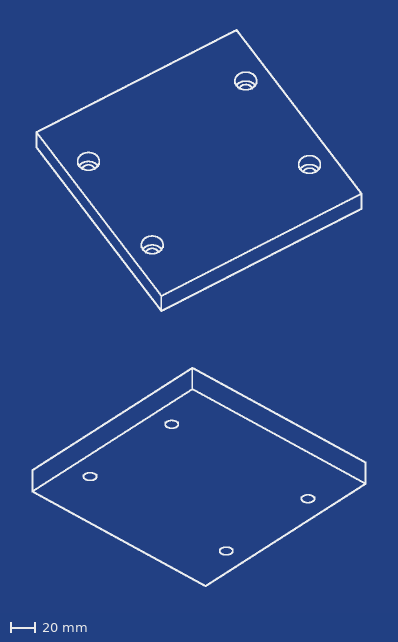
import cadquery as cq

side = 196.0
thickness = 22.0

hole_spacing_x = 100.0
hole_spacing_y = 154.0
hole_diameter = 11.0
counterbore_diameter = 18.0
counterbore_depth = 13.0

plate = cq.Workplane("XY").box(side, side, thickness)

result = (
    plate.faces(">Z")
    .workplane()
    .rect(hole_spacing_x, hole_spacing_y, forConstruction=True)
    .vertices()
    .cboreHole(hole_diameter, counterbore_diameter, counterbore_depth)
)